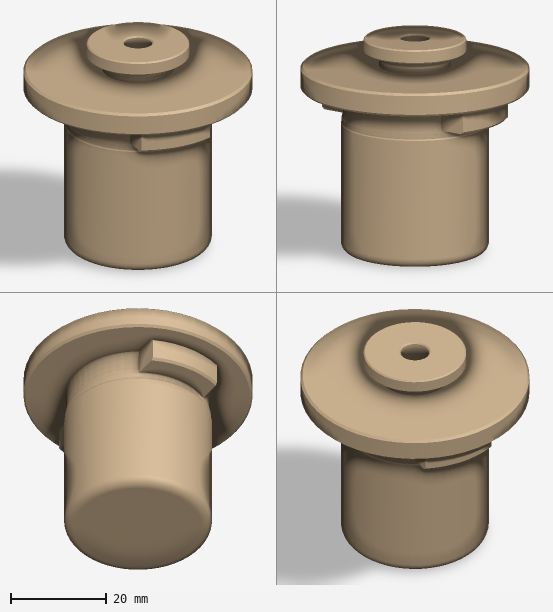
import cadquery as cq

total_height = 46.0
cap_thickness = 3.0
flange_top = 40.0
flange_thickness = 5.0
body_top = 27.65
collar_top = 29.1
neck_step_height = 1.15
cap_bottom = total_height - cap_thickness
flange_bottom = flange_top - flange_thickness

flange_radius = 24
body_radius = 15.5
collar_radius = 15.35
groove_end_radius = 15.25
waist_radius = 14.95
neck_foot_radius = 7.5
neck_radius = 7.35
cap_radius = 10.75

flange_chamfer = 0.5
cap_chamfer = 0.3
bottom_fillet = 2.0
shoulder_taper_height = 0.3
neck_taper_height = 0.4
neck_root_chamfer = 0.5

lug_radius = 19.95
lug_width = 15.95
lug_bottom = 29.45
lug_chamfer = 0.5

hole_radius = 3.0
hole_depth = 9.6
hole_chamfer = 0.3


def disc(radius, bottom, top):
    return cq.Workplane("XY").workplane(offset=bottom).circle(radius).extrude(top - bottom)


def make_body():
    barrel = disc(body_radius, 0, body_top)
    barrel = barrel.faces("<Z").edges().fillet(bottom_fillet)
    shoulder = (
        cq.Workplane("XY")
        .workplane(offset=body_top)
        .circle(body_radius)
        .workplane(offset=shoulder_taper_height)
        .circle(collar_radius)
        .loft()
    )
    collar = disc(collar_radius, body_top + shoulder_taper_height, collar_top)
    return barrel.union(shoulder).union(collar)


def make_grooved_waist():
    """Concave ring between the collar and the flange."""
    middle = (collar_top + flange_bottom) / 2
    profile = (
        cq.Workplane("XZ")
        .moveTo(0, collar_top)
        .lineTo(groove_end_radius, collar_top)
        .threePointArc((waist_radius, middle), (groove_end_radius, flange_bottom))
        .lineTo(0, flange_bottom)
        .close()
    )
    return profile.revolve(360, (0, 0, 0), (0, 1, 0))


def make_lugs():
    ring = disc(lug_radius, lug_bottom, flange_bottom).edges().chamfer(lug_chamfer)
    band = cq.Workplane("XY").box(2 * lug_radius, lug_width, total_height, centered=(True, True, False))
    return ring.intersect(band)


def make_neck():
    foot_top = flange_top + neck_step_height
    taper_top = foot_top + neck_taper_height
    root_radius = neck_radius + neck_root_chamfer
    profile = cq.Workplane("XZ").polyline([
        (0, flange_top),
        (neck_foot_radius, flange_top),
        (neck_foot_radius, foot_top),
        (neck_radius, taper_top),
        (neck_radius, cap_bottom - neck_root_chamfer),
        (root_radius, cap_bottom),
        (0, cap_bottom),
    ]).close()
    return profile.revolve(360, (0, 0, 0), (0, 1, 0))


def make_hole():
    hole = disc(hole_radius, total_height - hole_depth, total_height)
    rim = (
        cq.Workplane("XY")
        .workplane(offset=total_height)
        .circle(hole_radius + hole_chamfer)
        .workplane(offset=-hole_chamfer)
        .circle(hole_radius)
        .loft()
    )
    return hole.union(rim)


flange = disc(flange_radius, flange_bottom, flange_top).edges().chamfer(flange_chamfer)
cap = disc(cap_radius, cap_bottom, total_height).edges().chamfer(cap_chamfer)

result = (
    make_body()
    .union(make_grooved_waist())
    .union(make_lugs())
    .union(flange)
    .union(make_neck())
    .union(cap)
    .cut(make_hole())
)